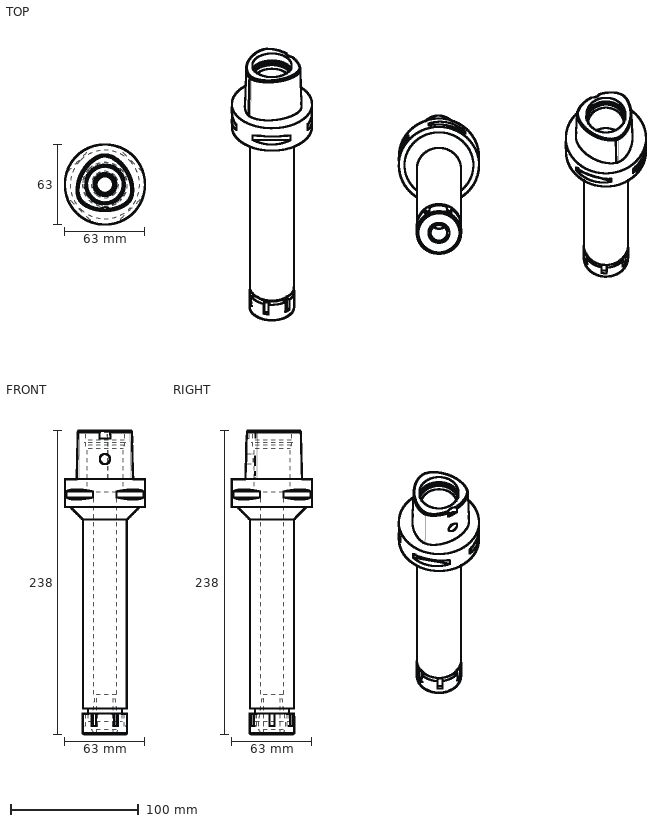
import cadquery as cq
import math


shank_length = 38.0
shank_mean_radius = 22.25
shank_lobe_height = 1.4
shank_taper = 1 / 40
shank_top_chamfer_height = 1.5
shank_top_chamfer_inset = 0.75
lobe_count = 3
samples_per_lobe = 12

flange_radius = 31.5
flange_height = 22.0
body_radius = 17.3
shoulder_radius = 27.0
shoulder_bottom = -flange_height - (shoulder_radius - body_radius)
overall_reach = 200.0
front_z = -overall_reach
body_bottom = front_z + 20.3

gripper_slot_count = 4
gripper_slot_z = -12.0
gripper_floor_distance = 27.8
gripper_floor_width = 4.5
gripper_flank_angle = 25.0

notch_radius = 6.0
notch_floor_distance = 18.0
notch_depth = 6.0
side_hole_diameter = 8.0
side_hole_z = 15.7
side_hole_floor_distance = 15.0

cut_clearance = 1.0

bore_radius = 15.4
groove_radius = 16.0
groove_top = shank_length - 7.3
groove_bottom = shank_length - 9.5
bore_cone_top = shank_length - 11.4
bore_cone_bottom = shank_length - 13.9
inner_bore_radius = 14.0
bore_floor = -10.0
through_bore_radius = 9.0

collet_length = 31.5
collet_radius = 10.5
collet_hole_radius = 6.5
collet_back_radius = 7.5
collet_cone_angle = 8.0
collet_nose_angle = 30.0
collet_nose_length = 4.0
collet_back = front_z + collet_length
collet_cone_length = (collet_radius - collet_back_radius) / math.tan(math.radians(collet_cone_angle))
collet_cone_end = collet_back - collet_cone_length
collet_nose_start = front_z + collet_nose_length
collet_front_radius = collet_radius - collet_nose_length * math.tan(math.radians(collet_nose_angle))

neck_radius = 13.4
neck_bottom = collet_cone_end

nut_radius = 17.5
nut_top = front_z + 16.3
nut_chamfer_height = 1.0
nut_chamfer_inset = 1.4
nut_slot_count = 6
nut_slot_width = 4.0
nut_slot_bottom = front_z + 6.7
nut_slot_floor_distance = 15.0


def revolve_profile(points):
    """Turn a closed (radius, z) outline around the Z axis."""
    return cq.Workplane("XZ").polyline(points).close().revolve(360, (0, 0, 0), (0, 1, 0))


def shank_point(mean_radius, angle):
    """Point of a three-lobed curve of constant width; the angle runs from the +Y lobe."""
    reach = mean_radius + shank_lobe_height * math.cos(lobe_count * angle)
    reach_slope = -lobe_count * shank_lobe_height * math.sin(lobe_count * angle)
    x = -reach * math.sin(angle) - reach_slope * math.cos(angle)
    y = reach * math.cos(angle) - reach_slope * math.sin(angle)
    return (x, y)


def shank_outline(mean_radius, z):
    """Closed outline at height z, with one smooth curve from each lobe to the next."""
    lobe_pitch = 2 * math.pi / lobe_count
    outline = cq.Workplane("XY", origin=(0, 0, z)).moveTo(*shank_point(mean_radius, 0))
    for lobe in range(lobe_count):
        start = lobe * lobe_pitch
        end = start + lobe_pitch
        points = [
            shank_point(mean_radius, start + lobe_pitch * step / samples_per_lobe)
            for step in range(1, samples_per_lobe + 1)
        ]
        tangents = [(-math.cos(angle), -math.sin(angle)) for angle in (start, end)]
        outline = outline.spline(points, tangents=tangents, includeCurrent=True)
    return outline.wire().val()


def make_shank():
    chamfer_z = shank_length - shank_top_chamfer_height
    chamfer_radius = shank_mean_radius - shank_taper * chamfer_z
    top_radius = chamfer_radius - shank_top_chamfer_inset
    base = shank_outline(shank_mean_radius, 0)
    chamfer_start = shank_outline(chamfer_radius, chamfer_z)
    top = shank_outline(top_radius, shank_length)
    tapered_length = cq.Workplane(cq.Solid.makeLoft([base, chamfer_start], True))
    return tapered_length.union(cq.Workplane(cq.Solid.makeLoft([chamfer_start, top], True)))


def make_key_notch():
    return (
        cq.Workplane("XY", origin=(0, -notch_floor_distance - notch_radius, shank_length - notch_depth))
        .circle(notch_radius)
        .extrude(notch_depth + cut_clearance)
    )


def make_side_hole():
    return (
        cq.Workplane("XZ", origin=(0, -side_hole_floor_distance, side_hole_z))
        .circle(side_hole_diameter / 2)
        .extrude(flange_radius - side_hole_floor_distance)
    )


def make_gripper_slot(angle):
    """Straight slot with sloping flanks, cut across the flange rim."""
    depth = flange_radius - gripper_floor_distance
    floor_half = gripper_floor_width / 2
    mouth_half = floor_half + depth * math.tan(math.radians(gripper_flank_angle))
    slot = (
        cq.Workplane("XZ", origin=(0, 0, gripper_slot_z))
        .polyline([
            (gripper_floor_distance, -floor_half),
            (flange_radius, -mouth_half),
            (flange_radius, mouth_half),
            (gripper_floor_distance, floor_half),
        ])
        .close()
        .extrude(flange_radius, both=True)
    )
    return slot.rotate((0, 0, 0), (0, 0, 1), angle)


def make_holder_cavity():
    """Clamping bore, through bore and collet seat as one turned shape."""
    return revolve_profile([
        (0, shank_length + cut_clearance),
        (bore_radius, shank_length + cut_clearance),
        (bore_radius, groove_top),
        (groove_radius, groove_top),
        (groove_radius, groove_bottom),
        (bore_radius, groove_bottom),
        (bore_radius, bore_cone_top),
        (inner_bore_radius, bore_cone_bottom),
        (inner_bore_radius, bore_floor),
        (through_bore_radius, bore_floor),
        (through_bore_radius, collet_back),
        (collet_back_radius, collet_back),
        (collet_radius, collet_cone_end),
        (0, collet_cone_end),
    ])


def make_holder():
    turned_body = revolve_profile([
        (0, 0),
        (flange_radius, 0),
        (flange_radius, -flange_height),
        (shoulder_radius, -flange_height),
        (body_radius, shoulder_bottom),
        (body_radius, body_bottom),
        (neck_radius, body_bottom),
        (neck_radius, neck_bottom),
        (0, neck_bottom),
    ])
    holder = turned_body.union(make_shank())
    holder = holder.cut(make_holder_cavity()).cut(make_key_notch()).cut(make_side_hole())
    slot_pitch = 360 / gripper_slot_count
    for index in range(gripper_slot_count):
        holder = holder.cut(make_gripper_slot((index + 0.5) * slot_pitch))
    return holder


def make_collet():
    return revolve_profile([
        (collet_hole_radius, collet_back),
        (collet_back_radius, collet_back),
        (collet_radius, collet_cone_end),
        (collet_radius, collet_nose_start),
        (collet_front_radius, front_z),
        (collet_hole_radius, front_z),
    ])


def make_nut():
    nut = revolve_profile([
        (neck_radius, nut_top),
        (nut_radius, nut_top),
        (nut_radius, front_z + nut_chamfer_height),
        (nut_radius - nut_chamfer_inset, front_z),
        (collet_front_radius, front_z),
        (collet_radius, collet_nose_start),
        (collet_radius, neck_bottom),
        (neck_radius, neck_bottom),
    ])
    slot_depth = nut_radius - nut_slot_floor_distance
    wrench_slot = cq.Workplane("XY", origin=(nut_slot_floor_distance, 0, nut_slot_bottom)).box(
        slot_depth, nut_slot_width, nut_top - nut_slot_bottom, centered=(False, True, False)
    )
    for index in range(nut_slot_count):
        nut = nut.cut(wrench_slot.rotate((0, 0, 0), (0, 0, 1), index * 360 / nut_slot_count))
    return nut


holder = make_holder()
collet = make_collet()
nut = make_nut()

result = cq.Compound.makeCompound([holder.solids().val(), collet.val(), nut.solids().val()])